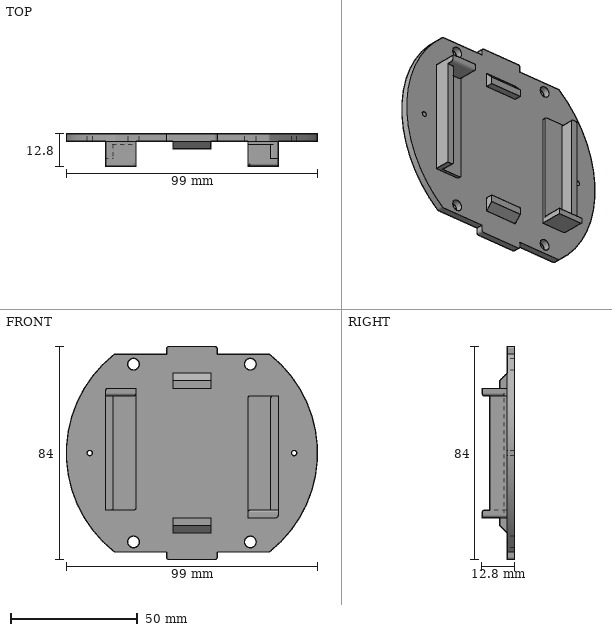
import cadquery as cq
import math

plate_radius = 49.5
plate_half_height = 39.0
plate_thickness = 3.0
plate_corner_fillet = 1.0

tab_width = 20.0
tab_length = 3.0
tab_corner_fillet = 1.0

screw_hole_diameter = 4.5
screw_hole_x = 23.0
screw_hole_z = 35.0
pin_hole_diameter = 2.0
pin_hole_x = 40.25

catch_width = 15.0
catch_height = 3.0
catch_flat = 3.0
catch_inner_z = 25.5

bracket_inner_x = 22.0
bracket_width = 12.0
bracket_half_length = 22.5
pad_height = 1.25
wall_thickness = 3.0
wall_height = 6.85
lip_thickness = 3.0
lip_height = 9.85
bracket_fillet = 1.0

bracket_outer_x = bracket_inner_x + bracket_width
wall_inner_x = bracket_outer_x - wall_thickness
lip_bottom_z = -bracket_half_length - lip_thickness
embed_depth = plate_thickness / 2


def block(x_min, x_max, z_min, z_max, height, base=-embed_depth):
    """Box whose depth runs from base to height, both measured outward from the plate face."""
    size_x = x_max - x_min
    size_z = z_max - z_min
    corner = (x_min, -plate_thickness - height, z_min)
    return cq.Workplane("XY").box(size_x, height - base, size_z, centered=False).translate(corner)


def edge_at(body, axis, x=None, y=None, z=None):
    """Select the edges parallel to an axis whose middle lies at the given coordinates."""
    tolerance = 0.01
    span = 1000.0
    wanted = (x, y, z)
    low = [-span if value is None else value - tolerance for value in wanted]
    high = [span if value is None else value + tolerance for value in wanted]
    return body.edges(f"|{axis}").edges(cq.selectors.BoxSelector(low, high))


def make_plate():
    corner_x = math.sqrt(plate_radius**2 - plate_half_height**2)
    disc = (
        cq.Workplane("XZ")
        .moveTo(-corner_x, plate_half_height)
        .lineTo(corner_x, plate_half_height)
        .threePointArc((plate_radius, 0), (corner_x, -plate_half_height))
        .lineTo(-corner_x, -plate_half_height)
        .threePointArc((-plate_radius, 0), (-corner_x, plate_half_height))
        .close()
        .extrude(plate_thickness)
        .edges("|Y")
        .fillet(plate_corner_fillet)
    )
    tabs = (
        cq.Workplane("XZ")
        .rect(tab_width, 2 * (plate_half_height + tab_length))
        .extrude(plate_thickness)
        .edges("|Y")
        .fillet(tab_corner_fillet)
    )
    return disc.union(tabs)


def make_holes():
    screw_holes = (
        cq.Workplane("XZ")
        .rect(2 * screw_hole_x, 2 * screw_hole_z, forConstruction=True)
        .vertices()
        .circle(screw_hole_diameter / 2)
        .extrude(plate_thickness)
    )
    pin_holes = (
        cq.Workplane("XZ")
        .pushPoints([(-pin_hole_x, 0), (pin_hole_x, 0)])
        .circle(pin_hole_diameter / 2)
        .extrude(plate_thickness)
    )
    return screw_holes.union(pin_holes)


def make_top_catch():
    """Catch with a flat crest and a 45 degree slope facing the plate's edge."""
    face_y = -plate_thickness
    crest_y = face_y - catch_height
    crest_end_z = catch_inner_z + catch_flat
    slope_end_z = crest_end_z + catch_height
    profile = [
        (face_y + embed_depth, catch_inner_z),
        (crest_y, catch_inner_z),
        (crest_y, crest_end_z),
        (face_y, slope_end_z),
        (face_y + embed_depth, slope_end_z),
    ]
    return cq.Workplane("YZ").polyline(profile).close().extrude(catch_width / 2, both=True)


def make_right_bracket():
    top_z = bracket_half_length
    pad = block(bracket_inner_x, bracket_outer_x, lip_bottom_z, top_z, pad_height)
    pad = edge_at(pad, "Y", x=bracket_inner_x, z=top_z).fillet(bracket_fillet)

    wall = block(wall_inner_x, bracket_outer_x, lip_bottom_z, top_z, wall_height, pad_height)
    wall = edge_at(wall, "Y", x=wall_inner_x, z=top_z).fillet(bracket_fillet)

    lip_top_z = -bracket_half_length
    lip = block(bracket_inner_x, bracket_outer_x, lip_bottom_z, lip_top_z, lip_height, pad_height)
    lip_front_y = -plate_thickness - lip_height
    front_edge = edge_at(lip, "X", y=lip_front_y, z=lip_top_z)
    side_edge = edge_at(lip, "Y", x=bracket_inner_x, z=lip_top_z)
    lip = front_edge.add(side_edge).fillet(bracket_fillet)

    bracket = pad.union(wall).union(lip)
    return edge_at(bracket, "Y", x=bracket_outer_x, z=lip_bottom_z).fillet(bracket_fillet)


plate = make_plate().cut(make_holes())

result = plate
for feature in (make_top_catch(), make_right_bracket()):
    for turn in (0, 180):
        result = result.union(feature.rotate((0, 0, 0), (0, 1, 0), turn))